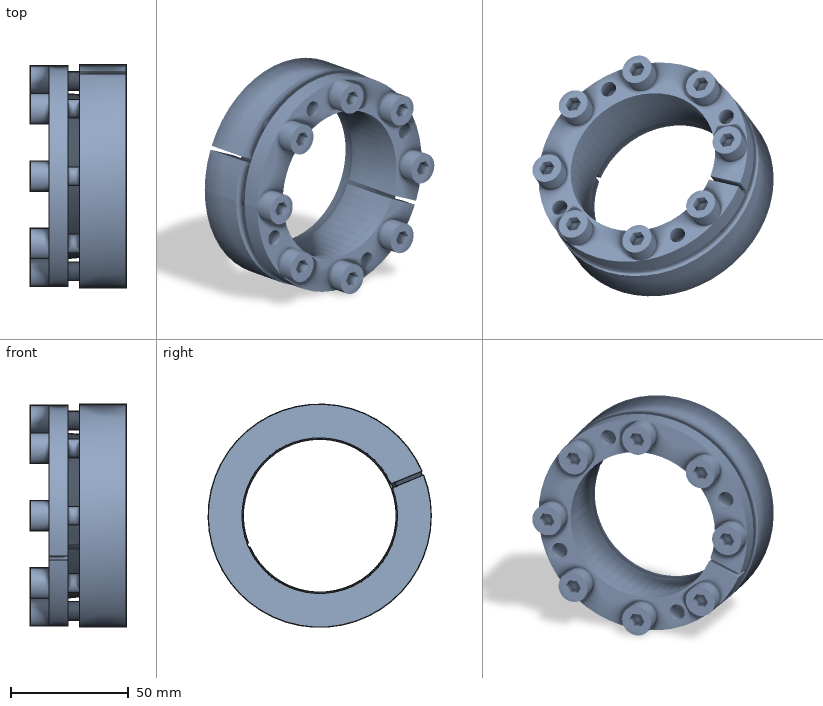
import cadquery as cq
import math

total_length = 41.0
head_height = 8.0
flange_thickness = 8.2
ring_length = 20.0
sleeve_recess = 5.0
head_x = -total_length / 2
flange_x = head_x + head_height
flange_back_x = flange_x + flange_thickness
back_x = total_length / 2
ring_x = back_x - ring_length
sleeve_end_x = back_x - sleeve_recess

bore_radius = 32.5
flange_radius = 47.0
ring_radius = 47.5

taper_large_radius = 35.05
taper_end_radius = 33.1
taper_slope = (taper_large_radius - taper_end_radius) / (back_x - flange_back_x)

screw_count = 8
half_pitch_angle = 180 / screw_count
bolt_circle_radius = 40.5
head_diameter = 13.0
shank_diameter = 8.0
screw_length = 30.0
hex_across_flats = 6.0
hex_depth = 5.0

slit_width = 1.75
slit_overrun = 1.0
ring_slit_angle = half_pitch_angle
sleeve_slit_angle = ring_slit_angle + 180

jack_hole_count = 4
jack_hole_diameter = 6.8
jack_hole_start_angle = 3 * half_pitch_angle


def taper_radius(x):
    """Radius of the shared taper at the axial place x."""
    return taper_large_radius - taper_slope * (x - flange_back_x)


def revolve_about_x(points):
    """Solid of revolution from (x, radius) points."""
    return cq.Workplane("XY").polyline(points).close().revolve(360, (0, 0, 0), (1, 0, 0))


def circle_points(count, start_angle):
    """(y, z) places spaced evenly on the bolt circle."""
    angles = [math.radians(start_angle + i * 360 / count) for i in range(count)]
    return [(bolt_circle_radius * math.cos(a), bolt_circle_radius * math.sin(a)) for a in angles]


def slit_cutter(angle):
    """Radial slab along the full length, on one side of the axis."""
    slab_length = ring_radius + slit_overrun
    slab = cq.Workplane("XY").box(total_length, slab_length, slit_width, centered=(True, False, True))
    return slab.rotate((0, 0, 0), (1, 0, 0), angle)


def cylinders(x, length, diameter, places):
    """Cylinders along +X from x at the given (y, z) places."""
    return cq.Workplane("YZ", origin=(x, 0, 0)).pushPoints(places).circle(diameter / 2).extrude(length)


def make_screw(place):
    """Socket head screw with its hexagon corners pointing along Y."""
    head = cylinders(head_x, head_height, head_diameter, [place])
    shank = cylinders(flange_x, screw_length, shank_diameter, [place])
    hex_across_corners = hex_across_flats / math.cos(math.pi / 6)
    socket = (
        cq.Workplane("YZ", origin=(head_x, 0, 0))
        .pushPoints([place])
        .polygon(6, hex_across_corners)
        .extrude(hex_depth)
    )
    return head.union(shank).cut(socket)


screw_places = circle_points(screw_count, 0)
jack_places = circle_points(jack_hole_count, jack_hole_start_angle)
screw_holes = cylinders(flange_x, screw_length, shank_diameter, screw_places)


def make_flanged_sleeve():
    """Inner ring: flange with a slit tapered sleeve behind it."""
    sleeve = revolve_about_x([
        (flange_x, bore_radius),
        (flange_x, flange_radius),
        (flange_back_x, flange_radius),
        (flange_back_x, taper_large_radius),
        (sleeve_end_x, taper_radius(sleeve_end_x)),
        (sleeve_end_x, bore_radius),
    ])
    jack_holes = cylinders(flange_x, flange_thickness, jack_hole_diameter, jack_places)
    return sleeve.cut(screw_holes).cut(jack_holes).cut(slit_cutter(sleeve_slit_angle))


def make_outer_ring():
    """Outer ring: slit, with a tapered bore and blind screw holes."""
    ring = revolve_about_x([
        (ring_x, taper_radius(ring_x)),
        (ring_x, ring_radius),
        (back_x, ring_radius),
        (back_x, taper_end_radius),
    ])
    return ring.cut(screw_holes).cut(slit_cutter(ring_slit_angle))


flanged_sleeve = make_flanged_sleeve()
outer_ring = make_outer_ring()
screws = [make_screw(place) for place in screw_places]

result = cq.Compound.makeCompound([
    flanged_sleeve.solids().val(),
    outer_ring.solids().val(),
    *[screw.solids().val() for screw in screws],
])